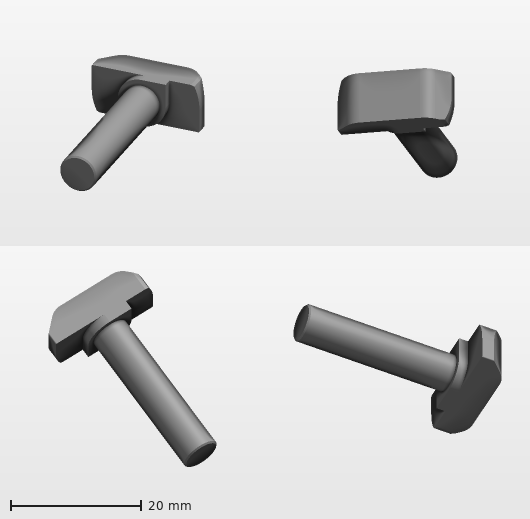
import cadquery as cq
import math

total_length = 31.5
head_width = 18.0
head_height = 8.0
head_thickness = 5.0
neck_thickness = 1.5
shaft_diameter = 6.02
tip_chamfer = 0.25

side_thickness = 2.02
bevel_round = 3.0
square_corner_round = 0.2
swept_bevel_width = 0.57
swept_bevel_height = 0.2

half_width = head_width / 2
half_height = head_height / 2
head_front = -head_thickness
neck_front = head_front - neck_thickness
shaft_end = -total_length


def along_minus_y(start_y):
    """Sketch plane facing -Y, with local x along X and local y along Z."""
    return cq.Workplane("XZ", origin=(0, start_y, 0))


def make_head():
    arc_end_z = half_height - swept_bevel_height
    arc_end_x = math.sqrt(half_width**2 - arc_end_z**2)
    bevel_start_x = arc_end_x - swept_bevel_width
    half_angle = math.asin(arc_end_z / half_width) / 2
    arc_mid_x = half_width * math.cos(half_angle)
    arc_mid_z = half_width * math.sin(half_angle)
    plan = (
        along_minus_y(0)
        .moveTo(-half_width, half_height)
        .lineTo(bevel_start_x, half_height)
        .lineTo(arc_end_x, arc_end_z)
        .threePointArc((arc_mid_x, arc_mid_z), (half_width, 0))
        .lineTo(half_width, -half_height)
        .lineTo(-bevel_start_x, -half_height)
        .lineTo(-arc_end_x, -arc_end_z)
        .threePointArc((-arc_mid_x, -arc_mid_z), (-half_width, 0))
        .close()
        .extrude(head_thickness)
    )

    for side in (1, -1):
        corner = cq.selectors.NearestToPointSelector(
            (side * half_width, -head_thickness / 2, -side * half_height)
        )
        plan = plan.edges("|Y").edges(corner).fillet(square_corner_round)

    bevel = head_thickness - side_thickness
    back_half_width = half_width - bevel
    profile = (
        cq.Workplane("XY")
        .polyline([
            (-half_width, head_front),
            (half_width, head_front),
            (half_width, -bevel),
            (back_half_width, 0),
            (-back_half_width, 0),
            (-half_width, -bevel),
        ])
        .close()
        .extrude(half_height, both=True)
        .edges("|Z and >Y")
        .fillet(bevel_round)
    )
    return plan.intersect(profile)


def make_neck():
    mid = half_height / math.sqrt(2)
    return (
        along_minus_y(head_front)
        .moveTo(0, half_height)
        .lineTo(half_height, half_height)
        .lineTo(half_height, 0)
        .threePointArc((mid, -mid), (0, -half_height))
        .lineTo(-half_height, -half_height)
        .lineTo(-half_height, 0)
        .threePointArc((-mid, mid), (0, half_height))
        .close()
        .extrude(neck_thickness)
    )


def make_shaft():
    return (
        along_minus_y(neck_front)
        .circle(shaft_diameter / 2)
        .extrude(neck_front - shaft_end)
        .faces("<Y")
        .chamfer(tip_chamfer)
    )


result = make_head().union(make_neck()).union(make_shaft())